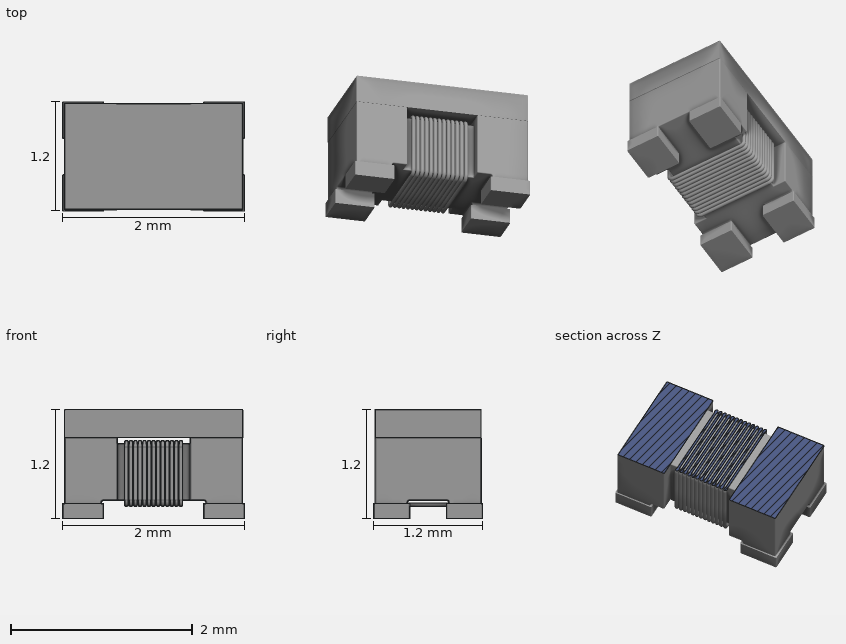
import cadquery as cq

LID_LENGTH = 1.96
LID_WIDTH = 1.163
LID_BOTTOM = 0.89
PART_HEIGHT = 1.2

FLANGE_SPAN = 1.957
FLANGE_WIDTH = 1.17
WINDOW_LENGTH = 0.8
FLANGE_BOTTOM = 0.2
POST_WIDTH = 0.87
POST_TOP = 0.826

EDGE_RADIUS = 0.01

LEG_INNER_X = 0.575
LEG_INNER_Y = 0.227
LEG_CORNER_RADIUS = 0.025
CAP_SPAN_X = 2.0
CAP_SPAN_Y = 1.2
CAP_LENGTH = 0.45
CAP_WIDTH = 0.4
CAP_HEIGHT = 0.165

WIRE_DIAMETER = 0.04
TURN_COUNT = 13
TURN_PITCH = 0.05
COIL_BOTTOM = 0.133
COIL_TOP = 0.86
COIL_WIDTH = 1.0
COIL_CORNER_RADIUS = 0.07


def block(x_size, y_size, z_bottom, z_top):
    """Box centred on the Z axis between two heights."""
    box = cq.Workplane("XY").box(x_size, y_size, z_top - z_bottom, centered=(True, True, False))
    return box.translate((0, 0, z_bottom))


def make_lid():
    """Flat lid, rounded along the top edges of its two ends."""
    lid = block(LID_LENGTH, LID_WIDTH, LID_BOTTOM, PART_HEIGHT)
    return lid.edges("|Y and >Z").fillet(EDGE_RADIUS)


def make_flange(side):
    """End flange with two legs, rounded all around the outline of its four sides."""
    length = (FLANGE_SPAN - WINDOW_LENGTH) / 2
    center_x = side * (WINDOW_LENGTH + length) / 2
    flange = block(length, FLANGE_WIDTH, 0, LID_BOTTOM).translate((center_x, 0, 0))
    slot = block(CAP_SPAN_X, 2 * LEG_INNER_Y, 0, FLANGE_BOTTOM)
    slot = slot.edges("|X and >Z").fillet(LEG_CORNER_RADIUS)
    relief = block(2 * LEG_INNER_X, CAP_SPAN_Y, 0, FLANGE_BOTTOM)
    relief = relief.edges("|Y and >Z").fillet(LEG_CORNER_RADIUS)
    flange = flange.cut(slot).cut(relief)
    return flange.faces(">X or <X or >Y or <Y").edges().fillet(EDGE_RADIUS)


def make_post():
    """Winding post that reaches slightly into both flanges, with rounded long edges."""
    post = block(WINDOW_LENGTH + 2 * EDGE_RADIUS, POST_WIDTH, FLANGE_BOTTOM, POST_TOP)
    return post.edges("|X").fillet(EDGE_RADIUS)


def make_root_fillet(side_x, side_y):
    """Concave rounding in the corner where a long side of the post meets a flange."""
    corner_x = side_x * WINDOW_LENGTH / 2
    corner_y = side_y * POST_WIDTH / 2
    center_x = corner_x - side_x * EDGE_RADIUS
    center_y = corner_y + side_y * EDGE_RADIUS
    height = POST_TOP - FLANGE_BOTTOM - 2 * EDGE_RADIUS
    base = cq.Workplane("XY", origin=(0, 0, FLANGE_BOTTOM + EDGE_RADIUS))
    corner = base.center((corner_x + center_x) / 2, (corner_y + center_y) / 2)
    corner = corner.rect(EDGE_RADIUS, EDGE_RADIUS).extrude(height)
    return corner.cut(base.center(center_x, center_y).circle(EDGE_RADIUS).extrude(height))


def make_cap(side_x, side_y):
    """Terminal cap enclosing one leg, rounded along its upright edges."""
    center_x = side_x * (CAP_SPAN_X - CAP_LENGTH) / 2
    center_y = side_y * (CAP_SPAN_Y - CAP_WIDTH) / 2
    cap = block(CAP_LENGTH, CAP_WIDTH, 0, CAP_HEIGHT).edges("|Z").fillet(EDGE_RADIUS)
    return cap.translate((center_x, center_y, 0))


def make_turn(x):
    """One closed rounded-rectangle loop of round wire in the plane at the given x."""
    wire_radius = WIRE_DIAMETER / 2
    bend = COIL_CORNER_RADIUS - wire_radius
    side_y = COIL_WIDTH / 2 - wire_radius
    bottom_z = COIL_BOTTOM + wire_radius
    top_z = COIL_TOP - wire_radius
    path = (
        cq.Workplane("YZ", origin=(x, 0, 0))
        .moveTo(0, bottom_z)
        .lineTo(side_y - bend, bottom_z)
        .tangentArcPoint((bend, bend))
        .lineTo(side_y, top_z - bend)
        .tangentArcPoint((-bend, bend))
        .lineTo(bend - side_y, top_z)
        .tangentArcPoint((-bend, -bend))
        .lineTo(-side_y, bottom_z + bend)
        .tangentArcPoint((bend, -bend))
        .close()
    )
    section = cq.Workplane("XZ", origin=(x, 0, bottom_z)).circle(wire_radius)
    return section.sweep(path)


result = make_lid().union(make_post())
for side_x in (-1, 1):
    result = result.union(make_flange(side_x))
    for side_y in (-1, 1):
        result = result.union(make_root_fillet(side_x, side_y))
        result = result.union(make_cap(side_x, side_y))
for turn in range(TURN_COUNT):
    turn_x = (turn - (TURN_COUNT - 1) / 2) * TURN_PITCH
    result = result.union(make_turn(turn_x))